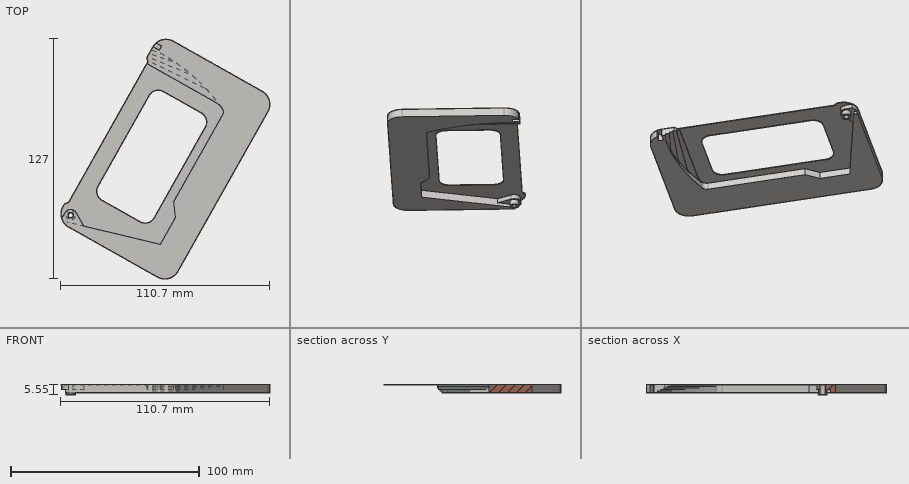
import cadquery as cq
import math

HEADING = -29.4

PLATE_WIDTH = 70.0
PLATE_LENGTH = 113.0
PLATE_RADIUS = 8.0
LAYER_COUNT = 5
LAYER_THICKNESS = 0.81
SKIN_THICKNESS = 0.4
PLATE_THICKNESS = SKIN_THICKNESS + LAYER_COUNT * LAYER_THICKNESS
LEFT = -PLATE_WIDTH / 2
BOTTOM = -PLATE_LENGTH / 2
OUTSIDE = 6.4

RECESS_DEPTH = 1.5
RECESS_START = -45.2
RECESS_END = 40.4
RECESS_LIP_RADIUS = 1.9

LATCH_SLOT_Y = 49.9
LATCH_SLOT_WIDTH = 2.5
LATCH_SLOT_DEPTH = 3.8

WINDOW_WIDTH = 34.0
WINDOW_LENGTH = 66.0
WINDOW_RADIUS = 5.5
WINDOW_X = -7.0
WINDOW_Y = -2.4

PIVOT_X = -29.1
PIVOT_Y = -50.5
BUSHING_DIAMETER = 4.8
BORE_DIAMETER = 2.5
BUSHING_DROP = 1.1
BORE_CHAMFER = 0.3

SWING_RADIUS = 98.2
STOP_BEARING = 66.2
STOP_BEARING_STEP = 6.2
STOP_TILT_STEP = 3.5
STOP_CORNER_RADIUS = 10.2
CAVITY_RIGHT = 14.9
CAVITY_CORNER_RADIUS = 3.0
CAVITY_FLARE_TOP = -17.5
CAVITY_FLARE_BOTTOM = -24.4
CAVITY_FLARE_RIGHT = 19.8
CAVITY_LOWER_RIGHT = -40.6
PIVOT_CLEARANCE = 4.1

WEDGE_LAYERS = 3
WEDGE_RADIUS = 3.2
WEDGE_LEFT_NORMAL = 176.0
WEDGE_RIGHT_NORMAL = 59.4


def from_pivot(radius, bearing):
    angle = math.radians(bearing)
    return (PIVOT_X + radius * math.cos(angle), PIVOT_Y + radius * math.sin(angle))


def plate_blank(bottom, thickness):
    """Rounded plate with the recess taken out of its left edge."""
    floor = LEFT + RECESS_DEPTH
    recess = (
        cq.Workplane("XY")
        .workplane(offset=bottom)
        .polyline(
            [
                (LEFT - OUTSIDE, RECESS_START - RECESS_DEPTH),
                (LEFT, RECESS_START - RECESS_DEPTH),
                (floor, RECESS_START),
                (floor, RECESS_END),
                (LEFT, RECESS_END + RECESS_DEPTH),
                (LEFT - OUTSIDE, RECESS_END + RECESS_DEPTH),
            ]
        )
        .close()
        .extrude(thickness)
    )
    lip = cq.NearestToPointSelector((LEFT, RECESS_START - RECESS_DEPTH, bottom + thickness / 2))
    return (
        cq.Workplane("XY")
        .workplane(offset=bottom)
        .rect(PLATE_WIDTH, PLATE_LENGTH)
        .extrude(thickness)
        .edges("|Z")
        .fillet(PLATE_RADIUS)
        .cut(recess)
        .edges("|Z")
        .edges(lip)
        .fillet(RECESS_LIP_RADIUS)
    )


def window_cutter():
    return (
        cq.Workplane("XY")
        .center(WINDOW_X, WINDOW_Y)
        .rect(WINDOW_WIDTH, WINDOW_LENGTH)
        .extrude(PLATE_THICKNESS)
        .edges("|Z")
        .fillet(WINDOW_RADIUS)
    )


def latch_slot_cutter():
    return (
        cq.Workplane("XY")
        .center(LEFT, LATCH_SLOT_Y)
        .rect(2 * LATCH_SLOT_DEPTH, LATCH_SLOT_WIDTH)
        .extrude(PLATE_THICKNESS - SKIN_THICKNESS)
    )


def blade_pocket(step):
    """Pocket of one layer; step 0 lies under the skin and each lower layer swings further."""
    stop_bearing = STOP_BEARING + step * STOP_BEARING_STEP
    stop_corner = from_pivot(SWING_RADIUS, stop_bearing)
    right_bearing = math.degrees(math.acos((CAVITY_RIGHT - PIVOT_X) / SWING_RADIUS))
    right_corner = from_pivot(SWING_RADIUS, right_bearing)
    opening = LEFT - OUTSIDE
    tilt = math.tan(math.radians(step * STOP_TILT_STEP))
    stop_left = (opening, stop_corner[1] - (stop_corner[0] - opening) * tilt)
    floor = PIVOT_Y - PIVOT_CLEARANCE
    bottom = PLATE_THICKNESS - SKIN_THICKNESS - (step + 1) * LAYER_THICKNESS
    middle = bottom + LAYER_THICKNESS / 2
    return (
        cq.Workplane("XY")
        .workplane(offset=bottom)
        .moveTo(*stop_left)
        .lineTo(*stop_corner)
        .threePointArc(from_pivot(SWING_RADIUS, (stop_bearing + right_bearing) / 2), right_corner)
        .lineTo(CAVITY_RIGHT, CAVITY_FLARE_TOP)
        .lineTo(CAVITY_FLARE_RIGHT, CAVITY_FLARE_BOTTOM)
        .lineTo(CAVITY_FLARE_RIGHT, CAVITY_LOWER_RIGHT)
        .lineTo(PIVOT_X, floor)
        .lineTo(PIVOT_X, BOTTOM - OUTSIDE)
        .lineTo(opening, BOTTOM - OUTSIDE)
        .close()
        .extrude(LAYER_THICKNESS)
        .edges("|Z")
        .edges(cq.NearestToPointSelector((*right_corner, middle)))
        .fillet(CAVITY_CORNER_RADIUS)
        .edges("|Z")
        .edges(cq.NearestToPointSelector((*stop_corner, middle)))
        .fillet(STOP_CORNER_RADIUS)
    )


def bushing_wedge():
    """Corner wedge, rounded about the pivot and trimmed to the plate outline."""
    thickness = SKIN_THICKNESS + WEDGE_LAYERS * LAYER_THICKNESS
    bottom = PLATE_THICKNESS - thickness
    left_tangent = from_pivot(WEDGE_RADIUS, WEDGE_LEFT_NORMAL)
    right_tangent = from_pivot(WEDGE_RADIUS, WEDGE_RIGHT_NORMAL)
    crown = from_pivot(WEDGE_RADIUS, (WEDGE_LEFT_NORMAL + WEDGE_RIGHT_NORMAL) / 2)
    low = BOTTOM - OUTSIDE
    left_slope = math.tan(math.radians(WEDGE_LEFT_NORMAL))
    right_slope = math.tan(math.radians(WEDGE_RIGHT_NORMAL))
    wedge = (
        cq.Workplane("XY")
        .workplane(offset=bottom)
        .moveTo(left_tangent[0] - (low - left_tangent[1]) * left_slope, low)
        .lineTo(*left_tangent)
        .threePointArc(crown, right_tangent)
        .lineTo(right_tangent[0] - (low - right_tangent[1]) * right_slope, low)
        .close()
        .extrude(thickness)
    )
    return wedge.intersect(plate_blank(bottom, thickness))


def pivot_cylinder(diameter):
    return (
        cq.Workplane("XY")
        .workplane(offset=-BUSHING_DROP)
        .center(PIVOT_X, PIVOT_Y)
        .circle(diameter / 2)
        .extrude(PLATE_THICKNESS + BUSHING_DROP)
    )


cover = plate_blank(0, PLATE_THICKNESS).cut(window_cutter()).cut(latch_slot_cutter())
for layer in range(LAYER_COUNT):
    cover = cover.cut(blade_pocket(layer))
cover = cover.union(bushing_wedge())
cover = cover.union(pivot_cylinder(BUSHING_DIAMETER))
cover = cover.cut(pivot_cylinder(BORE_DIAMETER))
bore_rim = cq.NearestToPointSelector((PIVOT_X, PIVOT_Y, PLATE_THICKNESS))
cover = cover.edges("%CIRCLE").edges(bore_rim).chamfer(BORE_CHAMFER)

result = cover.rotate((0, 0, 0), (0, 0, 1), HEADING)